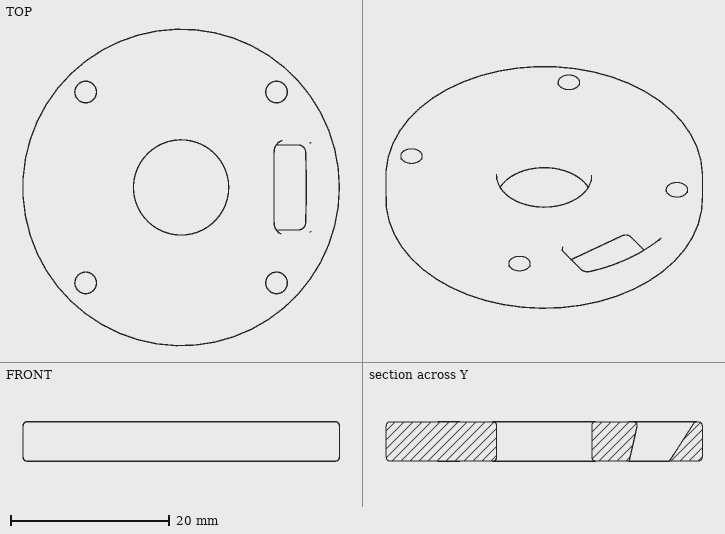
import cadquery as cq
import math

disc_diameter = 40.0
thickness = 5.0
edge_radius = 0.5
bore_diameter = 12.0

hole_diameter = 2.7
hole_spacing = 24.1

top_inner_x = 11.89
top_outer_x = 19.0
top_half_width = 6.1
top_outer_bow = top_outer_x - math.sqrt(top_outer_x**2 - top_half_width**2)
top_inner_corner_radius = 1.6

bottom_inner_x = 10.75
bottom_outer_x = 15.8
bottom_half_width = 5.35
bottom_outer_bow = 0.13
bottom_inner_corner_radius = 0.8

outer_corner_radius = 0.9

window_edge_radius = 0.5


def make_disc():
    """Round plate with a centre bore, all four circular edges rounded."""
    plate = cq.Workplane("XY").circle(disc_diameter / 2).circle(bore_diameter / 2).extrude(thickness)
    return plate.faces("<Z or >Z").edges().fillet(edge_radius)


def make_screw_holes():
    """Cutters for the four through holes."""
    return (
        cq.Workplane("XY")
        .rect(hole_spacing, hole_spacing, forConstruction=True)
        .vertices()
        .circle(hole_diameter / 2)
        .extrude(thickness)
    )


def window_outline(z, inner_x, outer_x, outer_bow, half_width, inner_corner_radius):
    """Closed window outline at height z: three straight sides, a bowed outer side and rounded corners."""
    corner_x = outer_x - outer_bow
    sharp_outline = (
        cq.Workplane("XY", origin=(0, 0, z))
        .moveTo(inner_x, -half_width)
        .lineTo(corner_x, -half_width)
        .threePointArc((outer_x, 0), (corner_x, half_width))
        .lineTo(inner_x, half_width)
        .close()
        .val()
    )
    face = cq.Face.makeFromWires(sharp_outline)
    inner_corners = cq.Workplane(face).vertices("<X").vals()
    face = face.fillet2D(inner_corner_radius, inner_corners)
    outer_corners = cq.Workplane(face).vertices(">X").vals()
    face = face.fillet2D(outer_corner_radius, outer_corners)
    return face.outerWire()


def make_window():
    """Cutter for the tapered window, ruled between its bottom and top outlines."""
    bottom = window_outline(
        0,
        bottom_inner_x,
        bottom_outer_x,
        bottom_outer_bow,
        bottom_half_width,
        bottom_inner_corner_radius,
    )
    top = window_outline(
        thickness,
        top_inner_x,
        top_outer_x,
        top_outer_bow,
        top_half_width,
        top_inner_corner_radius,
    )
    return cq.Workplane(cq.Solid.makeLoft([bottom, top], True))


def round_window_top(part):
    """Round the upper edge of the window, picked by a box around it that clears the bore and the disc rim."""
    near_corner = (top_inner_x - window_edge_radius, -top_half_width - window_edge_radius, thickness / 2)
    far_corner = (disc_diameter / 2, top_half_width + window_edge_radius, 2 * thickness)
    window_edges = cq.selectors.BoxSelector(near_corner, far_corner)
    return part.faces(">Z").edges(window_edges).fillet(window_edge_radius)


result = make_disc().cut(make_window())
result = round_window_top(result)
result = result.cut(make_screw_holes())